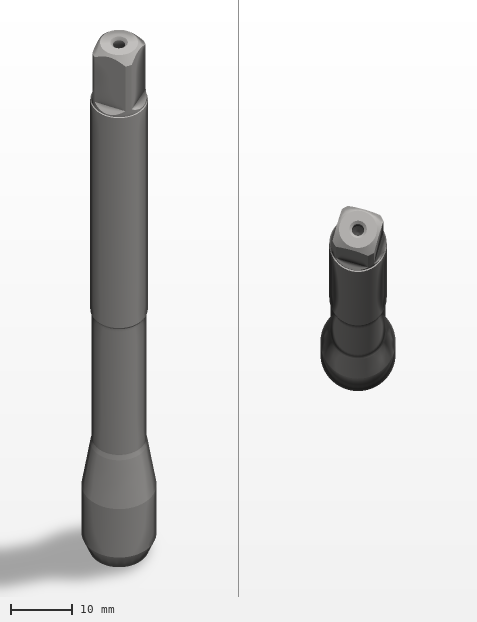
import cadquery as cq

TOTAL_LENGTH = 110.0
LEAD_TOP = 3.2
HEAD_CYLINDER_TOP = 13.8
HEAD_TAPER_TOP = 23.1
HEAD_TOP = 24.1
NECK_TOP = 51.5
SHANK_BOTTOM = 51.9
SHANK_TOP = 97.7

TIP_DIAMETER = 9.8
HEAD_DIAMETER = 12.2
NECK_DIAMETER = 8.9
SHANK_DIAMETER = 9.4

SQUARE_WIDTH = 7.0
SQUARE_CORNER_DIAMETER = 8.9
DRIVE_END_DIAMETER = 6.2
FLAT_BOTTOM = 98.9

CENTRE_DIAMETER = 2.0
CENTRE_MOUTH_DIAMETER = 2.9
CENTRE_DEPTH = 2.2


def revolve_profile(stations):
    """Revolve (diameter, height) stations, listed from bottom to top, about Z."""
    outline = [(diameter / 2, height) for diameter, height in stations]
    if stations[0][0] > 0:
        outline.insert(0, (0, stations[0][1]))
    outline.append((0, stations[-1][1]))
    return (
        cq.Workplane("XZ")
        .polyline(outline)
        .close()
        .revolve(360, (0, 0), (0, 1))
    )


def make_head():
    """Cutting head: tapered lead, cylinder, long taper and short collar taper."""
    return revolve_profile([
        (TIP_DIAMETER, 0),
        (HEAD_DIAMETER, LEAD_TOP),
        (HEAD_DIAMETER, HEAD_CYLINDER_TOP),
        (SHANK_DIAMETER, HEAD_TAPER_TOP),
        (NECK_DIAMETER, HEAD_TOP),
    ])


def make_flat_cutter():
    """Material removed beside one drive flat, with a 45 degree run-out at its foot."""
    inner = SQUARE_WIDTH / 2
    outer = SHANK_DIAMETER
    run_out = outer - inner
    return (
        cq.Workplane("XZ")
        .polyline([
            (inner, TOTAL_LENGTH),
            (inner, FLAT_BOTTOM),
            (outer, FLAT_BOTTOM - run_out),
            (outer, TOTAL_LENGTH),
        ])
        .close()
        .extrude(SHANK_DIAMETER / 2, both=True)
    )


def make_centre_hole():
    """Blind centre hole with a 45 degree countersunk mouth and a conical drill point."""
    countersink_depth = (CENTRE_MOUTH_DIAMETER - CENTRE_DIAMETER) / 2
    return revolve_profile([
        (0, TOTAL_LENGTH - CENTRE_DEPTH - CENTRE_DIAMETER / 2),
        (CENTRE_DIAMETER, TOTAL_LENGTH - CENTRE_DEPTH),
        (CENTRE_DIAMETER, TOTAL_LENGTH - countersink_depth),
        (CENTRE_MOUTH_DIAMETER, TOTAL_LENGTH),
    ])


def make_shank():
    """Neck and shank with a square drive and a centre hole at the upper end."""
    end_chamfer = (SQUARE_CORNER_DIAMETER - DRIVE_END_DIAMETER) / 2
    shank = revolve_profile([
        (NECK_DIAMETER, HEAD_TOP),
        (NECK_DIAMETER, NECK_TOP),
        (SHANK_DIAMETER, SHANK_BOTTOM),
        (SHANK_DIAMETER, SHANK_TOP),
        (SQUARE_CORNER_DIAMETER, SHANK_TOP),
        (SQUARE_CORNER_DIAMETER, TOTAL_LENGTH - end_chamfer),
        (DRIVE_END_DIAMETER, TOTAL_LENGTH),
    ])
    flat_cutter = make_flat_cutter()
    for angle in (0, 90, 180, 270):
        shank = shank.cut(flat_cutter.rotate((0, 0, 0), (0, 0, 1), angle))
    return shank.cut(make_centre_hole())


head = make_head()
shank = make_shank()

result = cq.Compound.makeCompound([head.val(), shank.val()])